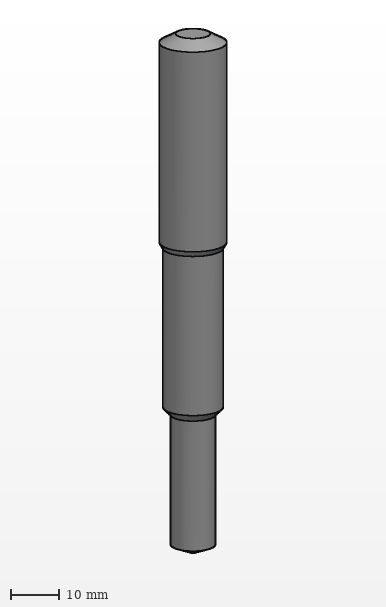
import cadquery as cq

TOTAL_LENGTH = 112.0

HEAD_RADIUS = 14.0 / 2
BODY_RADIUS = 12.5 / 2
TOP_FACE_RADIUS = 3.6
TOP_BEVEL_HEIGHT = 1.9
HEAD_BOTTOM_Z = 65.9
HEAD_TAPER_HEIGHT = 1.2
SHANK_BOTTOM_Z = 29.9
BODY_BEVEL_HEIGHT = 1.7

PIN_RADIUS = 9.3 / 2
PIN_POINT_HEIGHT = 1.9
SOCKET_DEPTH = 2 * PIN_RADIUS
PIN_TOP_Z = SHANK_BOTTOM_Z + SOCKET_DEPTH


def revolve_profile(points):
    """Turn a closed (radius, height) outline about the Z axis."""
    return cq.Workplane("XZ").polyline(points).close().revolve(360, (0, 0), (0, 1))


def make_shank():
    """Stepped shank whose lower bevel runs down to the socket rim."""
    return revolve_profile([
        (0, PIN_TOP_Z),
        (PIN_RADIUS, PIN_TOP_Z),
        (PIN_RADIUS, SHANK_BOTTOM_Z),
        (BODY_RADIUS, SHANK_BOTTOM_Z + BODY_BEVEL_HEIGHT),
        (BODY_RADIUS, HEAD_BOTTOM_Z),
        (HEAD_RADIUS, HEAD_BOTTOM_Z + HEAD_TAPER_HEIGHT),
        (HEAD_RADIUS, TOTAL_LENGTH - TOP_BEVEL_HEIGHT),
        (TOP_FACE_RADIUS, TOTAL_LENGTH),
        (0, TOTAL_LENGTH),
    ])


def make_pin():
    """Cylindrical pin with a conical point at its lower end."""
    return revolve_profile([
        (0, 0),
        (PIN_RADIUS, PIN_POINT_HEIGHT),
        (PIN_RADIUS, PIN_TOP_Z),
        (0, PIN_TOP_Z),
    ])


shank = make_shank()
pin = make_pin()

result = cq.Compound.makeCompound([shank.val(), pin.val()])